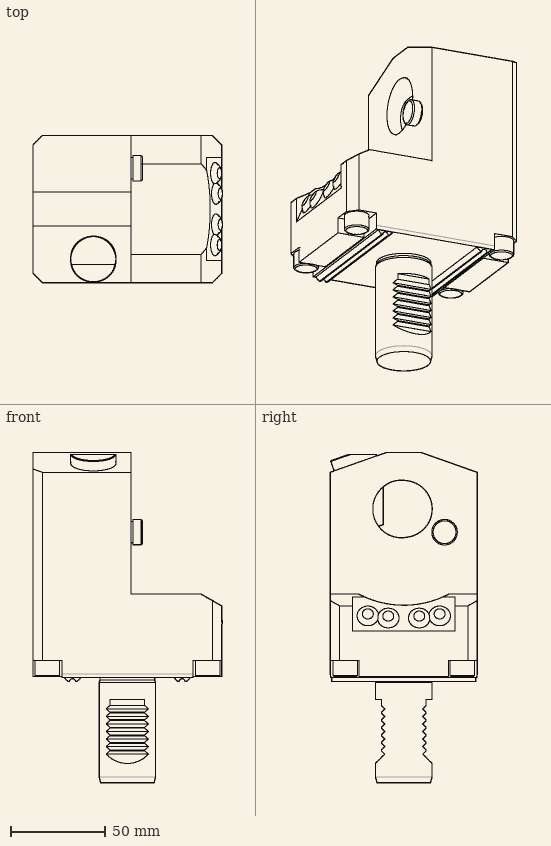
import cadquery as cq
import math

body_length = 100.0
body_width = 78.0
body_height = 119.3
corner_chamfer = 5.0

tower_front_x = 2.0
ledge_height = 44.3
ledge_slope_run = 11.0
ledge_slope_drop = 6.3

roof_flat_width = 18.0
roof_drop = 10.6

pad_height = 0.5
base_bevel_height = 2.0
base_bevel_depth = 0.4

bolt_notch_length = 15.3
bolt_notch_height = 9.0
bolt_head_diameter = 13.0
bolt_head_height = 8.5
bolt_head_chamfer = 0.7
bolt_x = 42.5
bolt_y = 31.0

bore_diameter = 30.0
bore_z = 89.3
clearance_bore_diameter = 30.4
clearance_bore_y = -1.2
saddle_half_width = 24.0

clamp_pin_diameter = 24.0
clamp_pin_x = -18.0
clamp_pin_top_y = -27.5
clamp_pin_top_z = 118.8
clamp_pin_length = 41.2
clamp_pin_flat_z = 118.2
clamp_pin_chamfer = 0.4
clamp_pin_inner_y = -10.8

knob_diameter = 13.5
knob_neck_diameter = 11.4
knob_neck_length = 1.0
knob_length = 6.0
knob_chamfer = 0.7
knob_y = 21.6
knob_z = 77.0

pocket_start_x = 42.0
pocket_width = 54.4
pocket_tilt = 24.0
nozzle_diameter = 11.4
nozzle_tip_diameter = 5.8
nozzle_height = 2.6
nozzle_places_y_x = [(8.2, 46.9), (19.0, 46.4)]

seal_x = 29.0
seal_length = 76.4
seal_base_width = 8.6
seal_tip_spacing = 3.7
seal_tip_width = 0.6
seal_depth = 2.1
seal_groove_depth = 0.6
seal_flank_bulge = 0.2
seal_overlap = 1.0

shank_diameter = 30.0
shank_length = 55.7
neck_diameter = 29.1
neck_length = 1.3
neck_cone_length = 1.2
shank_chamfer_height = 3.0
shank_chamfer_depth = 0.8

flat_y = 11.85
cutter_margin = 1.0
flat_top_z = -11.6
tooth_depth = 1.75
tooth_pitch = 4.0
tooth_count = 7
first_tooth_z = -16.5

half_length = body_length / 2
half_width = body_width / 2
ledge_slope_x = half_length - ledge_slope_run
roof_angle = math.degrees(math.atan2(roof_drop, half_width - roof_flat_width / 2))


def make_body():
    """L-shaped block with chamfered corners, a hipped roof and bevelled lower side edges."""
    side = (
        cq.Workplane("XZ")
        .moveTo(-half_length, 0)
        .lineTo(half_length, 0)
        .lineTo(half_length, ledge_height - ledge_slope_drop)
        .lineTo(ledge_slope_x, ledge_height)
        .lineTo(tower_front_x, ledge_height)
        .lineTo(tower_front_x, body_height)
        .lineTo(-half_length, body_height)
        .close()
        .extrude(half_width, both=True)
    )
    end = (
        cq.Workplane("YZ")
        .moveTo(-half_width + base_bevel_depth, 0)
        .lineTo(half_width - base_bevel_depth, 0)
        .lineTo(half_width, base_bevel_height)
        .lineTo(half_width, body_height - roof_drop)
        .lineTo(roof_flat_width / 2, body_height)
        .lineTo(-roof_flat_width / 2, body_height)
        .lineTo(-half_width, body_height - roof_drop)
        .lineTo(-half_width, base_bevel_height)
        .close()
        .extrude(half_length, both=True)
    )
    plan = (
        cq.Workplane("XY")
        .rect(body_length, body_width)
        .extrude(body_height)
        .edges("|Z")
        .chamfer(corner_chamfer)
    )
    return side.intersect(end).intersect(plan)


def cut_pad_relief(body):
    """Raise both ends of the underside so that only the middle pad seats."""
    relief_x = half_length - bolt_notch_length / 2
    relief = (
        cq.Workplane("XY")
        .pushPoints([(-relief_x, 0), (relief_x, 0)])
        .rect(bolt_notch_length, body_width)
        .extrude(pad_height)
    )
    return body.cut(relief)


def add_corner_bolts(body):
    """Notch each lower corner and hang a bolt head in it."""
    notch_x = half_length - bolt_notch_length / 2
    notch_y = half_width - bolt_notch_length / 2
    for x_side in (-1, 1):
        for y_side in (-1, 1):
            notch = (
                cq.Workplane("XY")
                .center(x_side * notch_x, y_side * notch_y)
                .rect(bolt_notch_length, bolt_notch_length)
                .extrude(bolt_notch_height)
            )
            head = (
                cq.Workplane("XY", origin=(0, 0, bolt_notch_height))
                .center(x_side * bolt_x, y_side * bolt_y)
                .circle(bolt_head_diameter / 2)
                .extrude(-bolt_head_height)
                .faces("<Z")
                .chamfer(bolt_head_chamfer)
            )
            body = body.cut(notch).union(head)
    return body


def cut_bore(body):
    """Tool bore through the tower along X, eased towards -Y by a larger offset bore."""
    for diameter, y in ((bore_diameter, 0), (clearance_bore_diameter, clearance_bore_y)):
        bore = (
            cq.Workplane("YZ", origin=(0, y, bore_z))
            .circle(diameter / 2)
            .extrude(half_length, both=True)
        )
        body = body.cut(bore)
    return body


def cut_saddle(body):
    """Cylindrical clearance in the ledge, concentric with the bore."""
    saddle_radius = math.hypot(saddle_half_width, bore_z - ledge_height)
    saddle = (
        cq.Workplane("YZ", origin=(tower_front_x, 0, bore_z))
        .circle(saddle_radius)
        .extrude(half_length - tower_front_x)
    )
    return body.cut(saddle)


def add_clamp_pin(body):
    """Pin square to the roof slope, flattened on top and inside the bore."""
    pin = (
        cq.Workplane("XY")
        .circle(clamp_pin_diameter / 2)
        .extrude(-clamp_pin_length)
        .faces(">Z")
        .chamfer(clamp_pin_chamfer)
        .rotate((0, 0, 0), (1, 0, 0), roof_angle)
        .translate((clamp_pin_x, clamp_pin_top_y, clamp_pin_top_z))
    )
    top_trim = (
        cq.Workplane("XY", origin=(clamp_pin_x, clamp_pin_top_y, clamp_pin_flat_z))
        .rect(2 * clamp_pin_diameter, 2 * clamp_pin_diameter)
        .extrude(clamp_pin_diameter)
    )
    inner_trim = (
        cq.Workplane("XY", origin=(clamp_pin_x, clamp_pin_inner_y + clamp_pin_diameter / 2, 0))
        .rect(2 * clamp_pin_diameter, clamp_pin_diameter)
        .extrude(body_height)
    )
    return body.union(pin.cut(top_trim).cut(inner_trim))


def add_knob(body):
    """Round knob on a short neck, on the tower face above the ledge."""
    neck = (
        cq.Workplane("YZ", origin=(tower_front_x, knob_y, knob_z))
        .circle(knob_neck_diameter / 2)
        .extrude(knob_neck_length)
    )
    head = (
        cq.Workplane("YZ", origin=(tower_front_x + knob_neck_length, knob_y, knob_z))
        .circle(knob_diameter / 2)
        .extrude(knob_length - knob_neck_length)
        .faces(">X")
        .chamfer(knob_chamfer)
    )
    return body.union(neck).union(head)


def pocket_plane_z(x):
    """Height of the tilted nozzle face at a given x."""
    slope = ledge_slope_drop / ledge_slope_run
    start_z = ledge_height - (pocket_start_x - ledge_slope_x) * slope
    return start_z - (x - pocket_start_x) / math.tan(math.radians(pocket_tilt))


def cut_nozzle_pocket(body):
    """Tilted recess across the end of the ledge."""
    pocket = (
        cq.Workplane("XZ")
        .moveTo(pocket_start_x, ledge_height)
        .lineTo(pocket_start_x, pocket_plane_z(pocket_start_x))
        .lineTo(half_length, pocket_plane_z(half_length))
        .lineTo(half_length, ledge_height)
        .close()
        .extrude(pocket_width / 2, both=True)
    )
    return body.cut(pocket)


def make_nozzle(x, y):
    """Truncated ball standing square on the tilted nozzle face, rooted in the body."""
    base_radius = nozzle_diameter / 2
    tip_radius = nozzle_tip_diameter / 2
    ball_z = (tip_radius**2 + nozzle_height**2 - base_radius**2) / (2 * nozzle_height)
    ball_radius = math.hypot(base_radius, ball_z)
    mid_z = nozzle_height / 2
    mid_radius = math.sqrt(ball_radius**2 - (mid_z - ball_z) ** 2)
    nozzle = (
        cq.Workplane("XZ")
        .moveTo(0, 0)
        .lineTo(base_radius, 0)
        .threePointArc((mid_radius, mid_z), (tip_radius, nozzle_height))
        .lineTo(0, nozzle_height)
        .close()
        .revolve(360, (0, 0, 0), (0, 1, 0))
    )
    return nozzle.rotate((0, 0, 0), (0, 1, 0), 90 - pocket_tilt).translate((x, y, pocket_plane_z(x)))


def add_nozzles(body):
    """Two mirrored pairs of nozzles across the tilted face."""
    for y, x in nozzle_places_y_x:
        body = body.union(make_nozzle(x, y)).union(make_nozzle(x, -y))
    return body


def add_seals(body):
    """Two-lipped seal strips along Y under the body."""
    half_base = seal_base_width / 2
    tip = seal_tip_spacing / 2
    outer_tip = tip + seal_tip_width / 2
    inner_tip = tip - seal_tip_width / 2
    flank_mid = (outer_tip + (half_base - outer_tip) / 2, -seal_depth / 2 - seal_flank_bulge)
    for x in (-seal_x, seal_x):
        strip = (
            cq.Workplane("XZ", origin=(x, 0, 0))
            .moveTo(-half_base, seal_overlap)
            .lineTo(-half_base, 0)
            .threePointArc((-flank_mid[0], flank_mid[1]), (-outer_tip, -seal_depth))
            .lineTo(-inner_tip, -seal_depth)
            .threePointArc((0, -seal_groove_depth), (inner_tip, -seal_depth))
            .lineTo(outer_tip, -seal_depth)
            .threePointArc(flank_mid, (half_base, 0))
            .lineTo(half_base, seal_overlap)
            .close()
            .extrude(seal_length / 2, both=True)
        )
        body = body.union(strip)
    return body


def make_shank():
    """Round shank with a relieved neck and a tapered lower end."""
    radius = shank_diameter / 2
    neck_radius = neck_diameter / 2
    return (
        cq.Workplane("XZ")
        .moveTo(0, seal_overlap)
        .lineTo(neck_radius, seal_overlap)
        .lineTo(neck_radius, -neck_length)
        .lineTo(radius, -neck_length - neck_cone_length)
        .lineTo(radius, -shank_length + shank_chamfer_height)
        .lineTo(radius - shank_chamfer_depth, -shank_length)
        .lineTo(0, -shank_length)
        .close()
        .revolve(360, (0, 0, 0), (0, 1, 0))
    )


def cut_serration(shank, y_side):
    """Flat with 90-degree teeth on one side of the shank, ending in a 45-degree run-out."""
    outer_y = shank_diameter / 2 + cutter_margin
    root_y = flat_y - tooth_depth
    last_root_z = first_tooth_z - (tooth_count - 1) * tooth_pitch
    profile = cq.Workplane("YZ").moveTo(y_side * outer_y, flat_top_z).lineTo(y_side * flat_y, flat_top_z)
    for index in range(tooth_count):
        root_z = first_tooth_z - index * tooth_pitch
        profile = profile.lineTo(y_side * flat_y, root_z + tooth_depth)
        profile = profile.lineTo(y_side * root_y, root_z)
        if index < tooth_count - 1:
            profile = profile.lineTo(y_side * flat_y, root_z - tooth_depth)
    profile = profile.lineTo(y_side * outer_y, last_root_z - (outer_y - root_y))
    return shank.cut(profile.close().extrude(shank_diameter, both=True))


shank = make_shank()
for side_sign in (-1, 1):
    shank = cut_serration(shank, side_sign)

holder = make_body()
holder = cut_pad_relief(holder)
holder = add_corner_bolts(holder)
holder = cut_bore(holder)
holder = cut_saddle(holder)
holder = add_clamp_pin(holder)
holder = add_knob(holder)
holder = cut_nozzle_pocket(holder)
holder = add_nozzles(holder)
holder = add_seals(holder)
result = holder.union(shank)